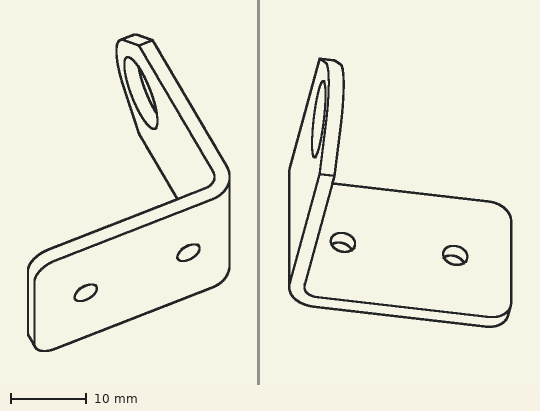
import cadquery as cq
import math

length = 33.47
depth = 30.0
height = 20.0

thickness = 2.0
inner_bend_radius = 2.0
outer_bend_radius = inner_bend_radius + thickness

nose_radius = 7.5
nose_slope = math.radians(45)
large_hole_diameter = 10.1

corner_radius = 3.0
small_hole_diameter = 3.25
first_hole_offset = 7.5
hole_spacing = 15.0


def bent_sheet():
    """L-shaped sheet: back face on Y = 0, free end on X = 0, centred on Z = 0."""
    return (
        cq.Workplane("XY")
        .moveTo(0, 0)
        .lineTo(length - outer_bend_radius, 0)
        .radiusArc((length, -outer_bend_radius), outer_bend_radius)
        .lineTo(length, -depth)
        .lineTo(length - thickness, -depth)
        .lineTo(length - thickness, -outer_bend_radius)
        .radiusArc((length - outer_bend_radius, -thickness), -inner_bend_radius)
        .lineTo(0, -thickness)
        .close()
        .extrude(height / 2, both=True)
    )


def nose_envelope():
    """Side outline of the bracket, with an arc tangent to two sloping edges."""
    half_height = height / 2
    tangent_x = nose_radius * (1 - math.cos(nose_slope))
    tangent_z = nose_radius * math.sin(nose_slope)
    shoulder_x = tangent_x + (half_height - tangent_z) / math.tan(nose_slope)
    return (
        cq.Workplane("XZ")
        .moveTo(length, -half_height)
        .lineTo(shoulder_x, -half_height)
        .lineTo(tangent_x, -tangent_z)
        .threePointArc((0, 0), (tangent_x, tangent_z))
        .lineTo(shoulder_x, half_height)
        .lineTo(length, half_height)
        .close()
        .extrude(depth)
    )


def large_hole():
    """Cutter through the plate, concentric with the nose."""
    return (
        cq.Workplane("XZ")
        .center(nose_radius, 0)
        .circle(large_hole_diameter / 2)
        .extrude(thickness)
    )


def small_holes():
    """Cutters through the mounting flange, on its centre line."""
    hole_places = [(-first_hole_offset - i * hole_spacing, 0) for i in range(2)]
    return (
        cq.Workplane("YZ", origin=(length - thickness, 0, 0))
        .pushPoints(hole_places)
        .circle(small_hole_diameter / 2)
        .extrude(thickness)
    )


bracket = bent_sheet().faces("<Y").edges("|X").fillet(corner_radius)
bracket = bracket.intersect(nose_envelope())
result = bracket.cut(large_hole()).cut(small_holes())